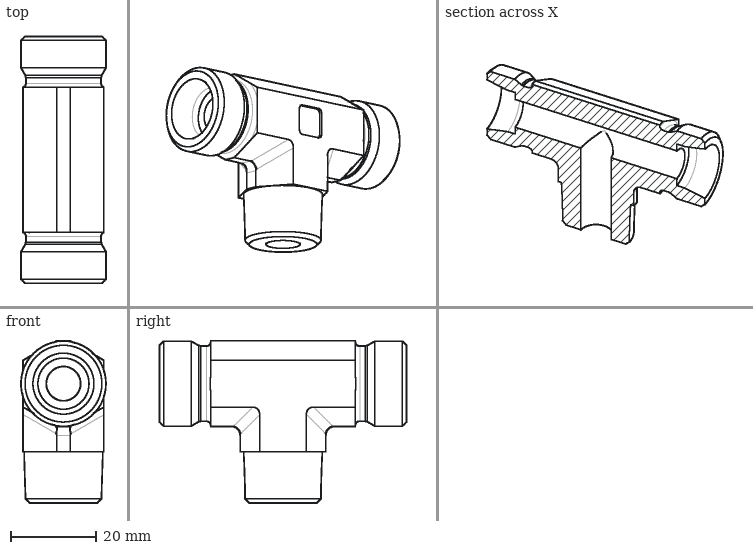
import cadquery as cq
import math

across_flats = 19.0
half_corner = 10.1
run_half_length = 17.0
branch_shoulder = 16.0
inner_corner_radius = 2.0

end_face = 29.0
connection_radius = 20.0 / 2
connection_chamfer = 1.0
thread_end = 21.6
neck_radius = 17.7 / 2
neck_slope_angle = 30
neck_fillet = 1.0

bore_radius = 8.0 / 2
socket_radius = 12.0 / 2
socket_mouth_radius = 14.3 / 2
socket_half_angle = 12
socket_depth = 7.5

stud_end = 28.0
stud_base_radius = 18.55 / 2
stud_taper = 1 / 16
stud_chamfer = 1.0

panel_size = 7.1
panel_corner_radius = 1.0
panel_depth = 0.7

half_flat = across_flats / 2
side_half_height = half_flat * math.tan(math.radians(30))
corner_half_width = (2 * side_half_height - half_corner) / math.tan(math.radians(30))


def hexagonal_bar(plane, length):
    """Extrude the flattened hexagon, its flattened corners on the plane's local Y axis."""
    quarter = [(half_flat, side_half_height), (corner_half_width, half_corner)]
    upper = quarter + [(-x, y) for x, y in reversed(quarter)]
    lower = [(-x, -y) for x, y in upper]
    return cq.Workplane(plane).polyline(upper + lower).close().extrude(length)


def run_plane(y):
    """Plane across the run at position y, facing +Y with its local Y axis along +Z."""
    return cq.Plane(origin=(0, y, 0), xDir=(-1, 0, 0), normal=(0, 1, 0))


def tee_body():
    """Join the run and the branch and round the inner corners between them."""
    run = hexagonal_bar(run_plane(-run_half_length), 2 * run_half_length)
    branch = hexagonal_bar("XY", -branch_shoulder)
    body = run.union(branch)
    margin = 0.3
    inner_corners = cq.selectors.BoxSelector(
        (-half_flat - margin, -half_corner - margin, -half_corner - margin),
        (half_flat + margin, half_corner + margin, -side_half_height + margin),
        boundingbox=True,
    )
    return body.edges(inner_corners).fillet(inner_corner_radius)


def tube_connection():
    """Build the +Y connection: threaded collar, sloped neck and fillet against the body."""
    slope_length = (connection_radius - neck_radius) / math.tan(math.radians(neck_slope_angle))
    neck_start = thread_end - slope_length
    blend = neck_fillet * math.tan(math.radians(neck_slope_angle / 2))
    blend_along = blend * math.cos(math.radians(neck_slope_angle))
    blend_out = blend * math.sin(math.radians(neck_slope_angle))
    collar = (
        cq.Workplane("XY")
        .moveTo(0, run_half_length)
        .lineTo(neck_radius, run_half_length)
        .lineTo(neck_radius, neck_start - blend)
        .radiusArc((neck_radius + blend_out, neck_start + blend_along), -neck_fillet)
        .lineTo(connection_radius, thread_end)
        .lineTo(connection_radius, end_face - connection_chamfer)
        .lineTo(connection_radius - connection_chamfer, end_face)
        .lineTo(0, end_face)
        .close()
        .revolve(360, (0, 0, 0), (0, 1, 0))
    )
    foot_end = run_half_length + neck_fillet
    foot = (
        cq.Workplane("XY")
        .moveTo(0, run_half_length)
        .lineTo(neck_radius + neck_fillet, run_half_length)
        .radiusArc((neck_radius, foot_end), neck_fillet)
        .lineTo(0, foot_end)
        .close()
        .revolve(360, (0, 0, 0), (0, 1, 0))
    )
    foot = foot.intersect(hexagonal_bar(run_plane(run_half_length), neck_fillet))
    return collar.union(foot)


def tapered_stud():
    """Build the tapered stud below the branch, chamfered at its end."""
    chamfer_start = stud_end - stud_chamfer
    tip_radius = stud_base_radius - stud_taper / 2 * (chamfer_start - branch_shoulder)
    return (
        cq.Workplane("XZ")
        .moveTo(0, -branch_shoulder)
        .lineTo(stud_base_radius, -branch_shoulder)
        .lineTo(tip_radius, -chamfer_start)
        .lineTo(tip_radius - stud_chamfer, -stud_end)
        .lineTo(0, -stud_end)
        .close()
        .revolve(360, (0, 0, 0), (0, 1, 0))
    )


def run_passage():
    """Build half of the run passage, from the centre to the +Y socket mouth."""
    cone_length = (socket_mouth_radius - socket_radius) / math.tan(math.radians(socket_half_angle))
    return (
        cq.Workplane("XY")
        .lineTo(bore_radius, 0)
        .lineTo(bore_radius, end_face - socket_depth)
        .lineTo(socket_radius, end_face - socket_depth)
        .lineTo(socket_radius, end_face - cone_length)
        .lineTo(socket_mouth_radius, end_face)
        .lineTo(0, end_face)
        .close()
        .revolve(360, (0, 0, 0), (0, 1, 0))
    )


def panel_recess():
    """Build the shallow rounded square sunk into the -X face."""
    return (
        cq.Workplane("YZ", origin=(-half_flat, 0, 0))
        .rect(panel_size, panel_size)
        .extrude(panel_depth)
        .edges("|X")
        .fillet(panel_corner_radius)
    )


connection = tube_connection()
passage = run_passage()
branch_bore = cq.Workplane("XY").circle(bore_radius).extrude(-stud_end)

result = (
    tee_body()
    .union(tapered_stud())
    .union(connection)
    .union(connection.mirror("XZ"))
    .cut(passage)
    .cut(passage.mirror("XZ"))
    .cut(branch_bore)
    .cut(panel_recess())
)